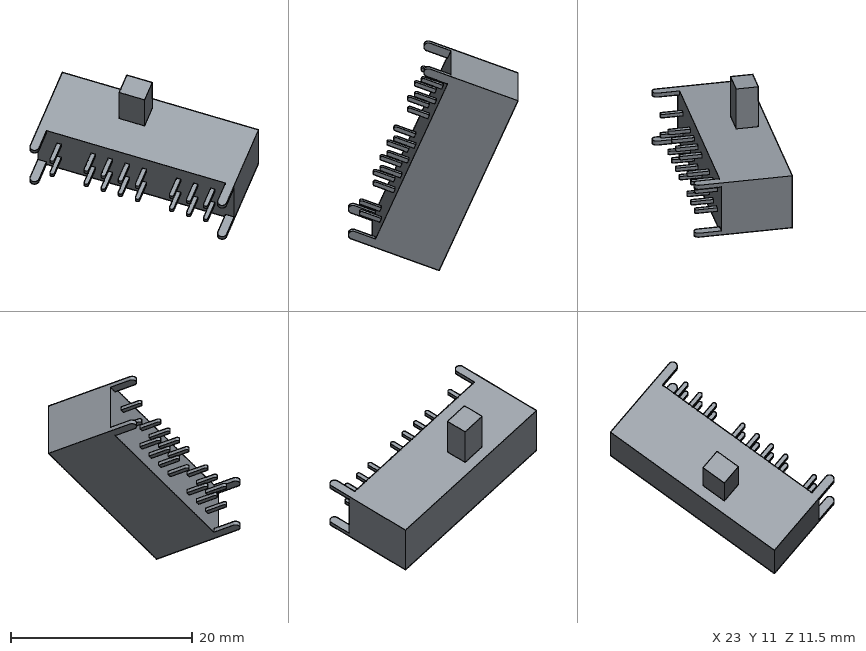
import cadquery as cq


body_length = 23.0
body_depth = 8.0
body_height = 6.5

lever_width = 3.0
lever_depth = 2.5
lever_height = 5.0
lever_left_offset = 8.0
lever_back_offset = 2.5

leg_width = 1.01
leg_thickness = 0.5
leg_length = 3.0

pin_width = 0.5
pin_thickness = 0.44
pin_length = 2.5
pin_tip_flat = 0.02
pin_pitch = 2.0
pin_row_spacing = 2.5
slot_count = 10
empty_slots = (1, 6)


def mounting_leg(x, z):
    """Leg centred on (x, z), running along -Y from Y = 0 to a full-round tip."""
    half_width = leg_width / 2
    shoulder = half_width - leg_length
    return (
        cq.Workplane("XY", origin=(x, 0, z))
        .moveTo(-half_width, 0)
        .lineTo(-half_width, shoulder)
        .threePointArc((0, -leg_length), (half_width, shoulder))
        .lineTo(half_width, 0)
        .close()
        .extrude(leg_thickness / 2, both=True)
    )


def contact_pin(x, z):
    """Pin centred on (x, z), running along -Y, its tip corners rounded down to a narrow flat."""
    tip_radius = (pin_width - pin_tip_flat) / 2
    return (
        cq.Workplane("XY", origin=(x, -pin_length, z))
        .box(pin_width, pin_length, pin_thickness, centered=(True, False, True))
        .faces("<Y")
        .edges("|Z")
        .fillet(tip_radius)
    )


result = cq.Workplane("XY").box(body_length, body_depth, body_height, centered=(True, False, True))

lever_x = -body_length / 2 + lever_left_offset + lever_width / 2
lever_y = body_depth - lever_back_offset
lever = (
    cq.Workplane("XY", origin=(lever_x, lever_y, body_height / 2))
    .rect(lever_width, lever_depth)
    .extrude(lever_height)
)
result = result.union(lever)

leg_x = (body_length - leg_width) / 2
leg_z = (body_height - leg_thickness) / 2
for x in (-leg_x, leg_x):
    for z in (-leg_z, leg_z):
        result = result.union(mounting_leg(x, z))

for slot in range(slot_count):
    if slot in empty_slots:
        continue
    pin_x = (slot - (slot_count - 1) / 2) * pin_pitch
    for pin_z in (-pin_row_spacing / 2, pin_row_spacing / 2):
        result = result.union(contact_pin(pin_x, pin_z))